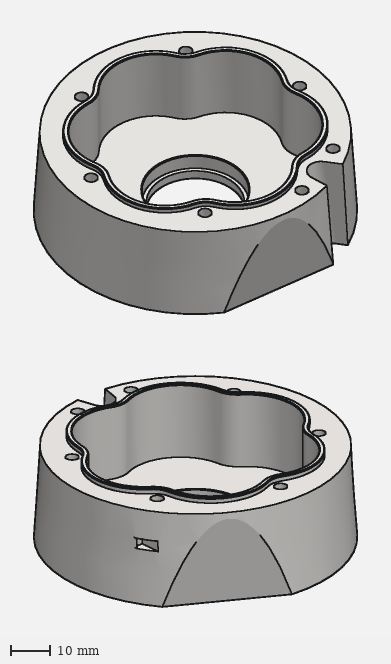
import cadquery as cq
import math

base_radius = 41.05
top_radius = 39.5
body_height = 25.95
lip_height = 1.4
lip_thickness = 1.5
lip_edge_chamfer = 0.25
floor_thickness = 6.8
total_height = body_height + lip_height

lobe_count = 6
lobe_pitch = 360 / lobe_count
lobe_tip = 33.7
lobe_radius = 15.9
valley_radius = 6.0
lobe_offset = lobe_tip - lobe_radius

bore_radius = 12.5
seat_radius = 13.55
seat_chamfer = 0.25
seat_height = 2.55

hole_radius = 1.7
hole_circle_radius = 32.0
blind_hole_x = 34.3
blind_hole_y = 9.1
blind_hole_depth = 9.85
drill_half_angle = 59

notch_radius = 3.6
notch_top_x = 35.3
notch_bottom_x = 38.75
notch_flare_angle = 14
notch_length = 12.3

flat_base_distance = 37.4
flat_lean_angle = 5.1
flat_directions = (-30, 150)

pocket_size = 2.8
pocket_y = 34.65
pocket_z = 16.5
pocket_floor_x = -16.4


def polar(radius, angle):
    """Point at a radius and an angle in degrees."""
    turn = math.radians(angle)
    return radius * math.cos(turn), radius * math.sin(turn)


def lobed_prism(inset, bottom, top):
    """Prism with tangent lobes and valleys, moved inward from the lip's outer wall."""
    lobe_r = lobe_radius - inset
    valley_r = valley_radius + inset
    half_pitch = lobe_pitch / 2
    reach = lobe_radius + valley_radius
    side = lobe_offset * math.sin(math.radians(half_pitch))
    along = lobe_offset * math.cos(math.radians(half_pitch))
    valley_offset = along + math.sqrt(reach**2 - side**2)
    share = valley_r / reach
    tangent_x = valley_offset + share * (along - valley_offset)
    tangent_y = share * side
    tangent_distance = math.hypot(tangent_x, tangent_y)
    tangent_angle = math.degrees(math.atan2(tangent_y, tangent_x))

    outline = cq.Workplane("XY", origin=(0, 0, bottom)).moveTo(*polar(tangent_distance, -tangent_angle))
    for index in range(lobe_count):
        valley = index * lobe_pitch
        outline = outline.threePointArc(
            polar(valley_offset - valley_r, valley), polar(tangent_distance, valley + tangent_angle)
        )
        outline = outline.threePointArc(
            polar(lobe_offset + lobe_r, valley + half_pitch),
            polar(tangent_distance, valley + lobe_pitch - tangent_angle),
        )
    return outline.close().extrude(top - bottom)


def cylinder(radius, bottom, top):
    return cq.Workplane("XY", origin=(0, 0, bottom)).circle(radius).extrude(top - bottom)


def tapered_body():
    profile = [(0, 0), (base_radius, 0), (top_radius, body_height), (0, body_height)]
    return cq.Workplane("XZ").polyline(profile).close().revolve(360, (0, 0, 0), (0, 1, 0))


def flat_cutter(direction):
    """Block whose inner face leans outward going up."""
    size = 2 * base_radius
    return (
        cq.Workplane("XY")
        .box(size, size, 2 * size, centered=(False, True, True))
        .rotate((0, 0, 0), (0, 1, 0), flat_lean_angle)
        .translate((flat_base_distance, 0, 0))
        .rotate((0, 0, 0), (0, 0, 1), direction)
    )


def seat_cutter():
    """Counterbore with a chamfered rim."""
    rim_radius = seat_radius + seat_chamfer
    profile = [
        (0, seat_height),
        (seat_radius, seat_height),
        (seat_radius, floor_thickness - seat_chamfer),
        (rim_radius, floor_thickness),
        (0, floor_thickness),
    ]
    return cq.Workplane("XZ").polyline(profile).close().revolve(360, (0, 0, 0), (0, 1, 0))


def blind_hole(y):
    """Drilled hole with a conical end."""
    tip_depth = hole_radius / math.tan(math.radians(drill_half_angle))
    profile = [
        (0, 0),
        (hole_radius, 0),
        (hole_radius, -blind_hole_depth),
        (0, -blind_hole_depth - tip_depth),
    ]
    drill = cq.Workplane("XZ").polyline(profile).close().revolve(360, (0, 0, 0), (0, 1, 0))
    return drill.translate((blind_hole_x, y, body_height))


def notch_outline(plane, center_x):
    """Round-ended outline that flares towards +X."""
    flare = math.radians(notch_flare_angle)
    start_x = center_x - notch_radius * math.sin(flare)
    start_y = notch_radius * math.cos(flare)
    mouth_x = center_x + notch_length
    mouth_y = start_y + (mouth_x - start_x) * math.tan(flare)
    return (
        plane.moveTo(start_x, start_y)
        .threePointArc((center_x - notch_radius, 0), (start_x, -start_y))
        .lineTo(mouth_x, -mouth_y)
        .lineTo(mouth_x, mouth_y)
        .close()
    )


def notch_cutter():
    lower = notch_outline(cq.Workplane("XY"), notch_bottom_x)
    both = notch_outline(lower.workplane(offset=body_height), notch_top_x)
    return both.loft(ruled=True, combine=True)


result = tapered_body()
for direction in flat_directions:
    result = result.cut(flat_cutter(direction))

result = result.cut(lobed_prism(lip_thickness, floor_thickness, total_height))
lip = lobed_prism(0, floor_thickness, total_height).cut(
    lobed_prism(lip_thickness, floor_thickness, total_height)
)
lip = lip.faces(">Z").edges().chamfer(lip_edge_chamfer)
result = result.union(lip)
result = result.cut(cylinder(bore_radius, 0, floor_thickness))
result = result.cut(seat_cutter())

for index in range(1, lobe_count):
    x, y = polar(hole_circle_radius, index * lobe_pitch)
    result = result.cut(cylinder(hole_radius, 0, body_height).translate((x, y, 0)))

for y in (-blind_hole_y, blind_hole_y):
    result = result.cut(blind_hole(y))

result = result.cut(notch_cutter())

pocket = cq.Workplane("YZ", origin=(pocket_floor_x, pocket_y, pocket_z))
result = result.cut(pocket.rect(pocket_size, pocket_size).extrude(-base_radius))